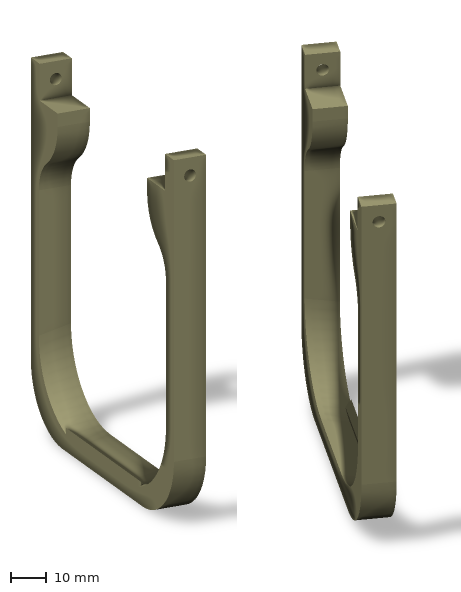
import cadquery as cq
import math

width = 91.0
depth = 10.0
height = 110.0
outer_radius = 20.0
half_width = width / 2

arm_thickness = 5.1
tip_thickness = 5.6
shelf_drop = 11.0
pad_reach = 17.0
pad_upper_radius = 16.0
pad_lower_radius = 12.0
pad_blend_end_z = 72.0
inner_half = half_width - arm_thickness
pad_half = half_width - pad_reach

floor_front_z = 4.0
floor_rise = 2.1
inner_radius = 24.8

lip_top_z = 7.0
lip_depth = 1.9
lip_rear_z = 5.4
lip_length = 46.2
lip_corner_chamfer = 1.1

hole_diameter = 3.6
hole_drop = 5.4

split_z = floor_front_z + floor_rise + inner_radius


def make_blank():
    blank = cq.Workplane("XY").box(width, depth, height, centered=(True, False, False))
    return blank.edges("|Y and <Z").fillet(outer_radius)


def make_arm_opening():
    """Opening between the arms, narrowed by a pad with an S-shaped underside."""
    blend_width = pad_half - inner_half
    turn = math.acos(1 - abs(blend_width) / (pad_upper_radius + pad_lower_radius))
    lower_center_x = inner_half - pad_lower_radius
    upper_center_x = pad_half + pad_upper_radius
    upper_center_z = pad_blend_end_z + (pad_lower_radius + pad_upper_radius) * math.sin(turn)

    def lower_point(angle):
        return (
            lower_center_x + pad_lower_radius * math.cos(angle),
            pad_blend_end_z + pad_lower_radius * math.sin(angle),
        )

    def upper_point(angle):
        return (
            upper_center_x - pad_upper_radius * math.cos(angle),
            upper_center_z - pad_upper_radius * math.sin(angle),
        )

    tip_half = half_width - tip_thickness
    shelf_z = height - shelf_drop
    half = (
        cq.Workplane("XZ")
        .moveTo(0, split_z)
        .lineTo(inner_half, split_z)
        .lineTo(inner_half, pad_blend_end_z)
        .threePointArc(lower_point(turn / 2), lower_point(turn))
        .threePointArc(upper_point(turn / 2), upper_point(0))
        .lineTo(pad_half, shelf_z)
        .lineTo(tip_half, shelf_z)
        .lineTo(tip_half, height)
        .lineTo(0, height)
        .close()
        .extrude(-depth)
    )
    return half.union(half.mirror("YZ"))


def floor_outline(y, floor_z):
    """Closed U-shaped wire at depth y with its floor at floor_z."""
    flat_half = inner_half - inner_radius
    center_z = floor_z + inner_radius
    arc_offset = inner_radius * math.sqrt(0.5)
    arc_x = flat_half + arc_offset
    arc_z = center_z - arc_offset
    top_z = split_z + 1.1
    return (
        cq.Workplane("XZ", origin=(0, y, 0))
        .moveTo(-inner_half, top_z)
        .lineTo(-inner_half, center_z)
        .threePointArc((-arc_x, arc_z), (-flat_half, floor_z))
        .lineTo(flat_half, floor_z)
        .threePointArc((arc_x, arc_z), (inner_half, center_z))
        .lineTo(inner_half, top_z)
        .close()
        .val()
    )


def make_floor_opening():
    front = floor_outline(0, floor_front_z)
    back = floor_outline(depth, floor_front_z + floor_rise)
    return cq.Workplane(cq.Solid.makeLoft([front, back], True))


def make_lip():
    """Lip whose top slopes down from the front edge, then drops straight to the floor."""
    base_z = floor_front_z / 2
    profile = [(0, base_z), (0, lip_top_z), (lip_depth, lip_rear_z), (lip_depth, base_z)]
    lip = cq.Workplane("YZ").polyline(profile).close().extrude(lip_length / 2, both=True)
    return lip.edges("|Z and >Y").chamfer(lip_corner_chamfer)


def make_pin_holes():
    return (
        cq.Workplane("YZ")
        .center(depth / 2, height - hole_drop)
        .circle(hole_diameter / 2)
        .extrude(half_width, both=True)
    )


frame = make_blank().cut(make_arm_opening()).cut(make_floor_opening())
result = frame.union(make_lip()).cut(make_pin_holes())